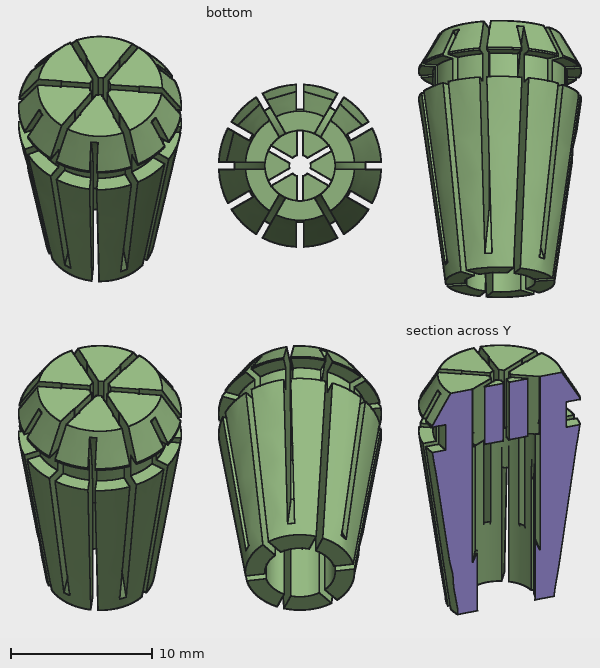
import cadquery as cq
import math

length = 18.0
max_radius = 5.76

taper_height = 13.5
taper_angle = 8.0
groove_radius = 4.75
head_bottom = 15.5
head_rim_height = 0.15
head_angle = 30.0
rim_top = head_bottom + head_rim_height
bottom_radius = max_radius - taper_height * math.tan(math.radians(taper_angle))
top_radius = max_radius - (length - rim_top) * math.tan(math.radians(head_angle))

grip_radius = 0.75
grip_length = 4.68
relief_radius = 2.48
grip_bottom = length - grip_length

slots_per_end = 6
slot_pitch = 360.0 / slots_per_end
slot_width = 0.5
top_slot_angle = slot_pitch / 2
bottom_slot_angle = 0.0

top_slot_end = 1.0
top_slot_bore_end = 4.86
narrow_slot_width = 0.41
narrow_slot_radius = 2.77
top_slot_end_radius = bottom_radius + top_slot_end * math.tan(math.radians(taper_angle))

bottom_slot_bore_end = 9.18
bottom_slot_end = 17.59
bottom_slot_end_radius = top_radius + (length - bottom_slot_end) * math.tan(math.radians(head_angle))


def revolve_about_axis(profile):
    """Turn a closed (radius, height) profile around the Z axis."""
    return profile.close().revolve(360, (0, 0, 0), (0, 1, 0))


def slot_slabs(width, first_angle):
    """Flat slabs through the axis; each one makes two opposite slots."""
    slabs = cq.Workplane("XY")
    for i in range(slots_per_end // 2):
        slab = cq.Workplane("XY").box(2 * max_radius, width, length, centered=(True, True, False))
        slabs = slabs.add(slab.rotate((0, 0, 0), (0, 0, 1), first_angle + i * slot_pitch))
    return slabs.combine()


def make_body():
    outline = cq.Workplane("XZ").polyline([
        (0, 0),
        (bottom_radius, 0),
        (max_radius, taper_height),
        (groove_radius, taper_height),
        (groove_radius, head_bottom),
        (max_radius, head_bottom),
        (max_radius, rim_top),
        (top_radius, length),
        (0, length),
    ])
    bore = cq.Workplane("XY").circle(grip_radius).extrude(length)
    relief = cq.Workplane("XY").circle(relief_radius).extrude(grip_bottom)
    return revolve_about_axis(outline).cut(bore).cut(relief)


def make_top_slots():
    reach = cq.Workplane("XZ").polyline([
        (0, top_slot_bore_end),
        (relief_radius, top_slot_bore_end),
        (top_slot_end_radius, top_slot_end),
        (max_radius, top_slot_end),
        (max_radius, length),
        (narrow_slot_radius, length),
        (narrow_slot_radius, grip_bottom),
        (0, grip_bottom),
    ])
    wide = slot_slabs(slot_width, top_slot_angle).intersect(revolve_about_axis(reach))
    core = cq.Workplane("XY", origin=(0, 0, grip_bottom)).circle(narrow_slot_radius).extrude(grip_length)
    narrow = slot_slabs(narrow_slot_width, top_slot_angle).intersect(core)
    return wide.union(narrow)


def make_bottom_slots():
    reach = (
        cq.Workplane("XZ")
        .lineTo(max_radius, 0)
        .lineTo(max_radius, bottom_slot_end)
        .lineTo(bottom_slot_end_radius, bottom_slot_end)
    )
    run = bottom_slot_end_radius - relief_radius
    rise = bottom_slot_end - bottom_slot_bore_end
    floor_arc = (run ** 2 + rise ** 2) / (2 * run)
    half_angle = math.asin(rise / floor_arc) / 2
    middle = (
        relief_radius + floor_arc * (1 - math.cos(half_angle)),
        bottom_slot_bore_end + floor_arc * math.sin(half_angle),
    )
    reach = reach.threePointArc(middle, (relief_radius, bottom_slot_bore_end))
    reach = reach.lineTo(0, bottom_slot_bore_end)
    return slot_slabs(slot_width, bottom_slot_angle).intersect(revolve_about_axis(reach))


result = make_body().cut(make_top_slots()).cut(make_bottom_slots())